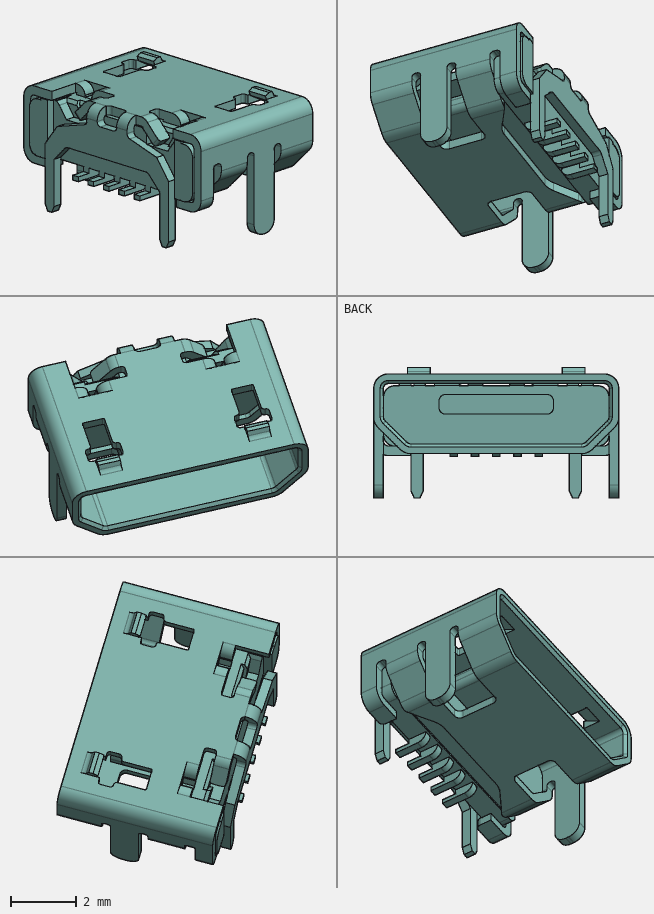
import cadquery as cq
import math


SHEET = 0.3
BEND_INNER = 0.1
BEND_OUTER = BEND_INNER + SHEET
SHELL_WIDTH = 7.5
SHELL_HEIGHT = 2.5
SHELL_LENGTH = 4.95
OVERALL_LENGTH = 5.22
HALF_WIDTH = SHELL_WIDTH / 2
INNER_HALF_WIDTH = HALF_WIDTH - SHEET
ROOF_UNDERSIDE = SHELL_HEIGHT - SHEET
SHELL_CORNER = 0.45

FLOOR_BOTTOM = 0.06
TAPER_CORNER = 0.5
TAPER_ANGLE = 45
TAPER_START_Z = 1.2
MOUTH_CHAMFER = 0.1
FLOOR_HALF_FLAT = 2.6

FRAME_LENGTH = 0.555
FLOOR_FRONT = 0.9
LIP_INNER_X = 2.62
LIP_CORNER = 0.165
SLOT_TOP = 1.46
SLOT_CORNER = 0.13

RECESS_MOUTH_HALF = 2.7
RECESS_END_HALF = 1.64
RECESS_ANGLE = 30
RECESS_MOUTH_RADIUS = 0.34
RECESS_END_RADIUS = 0.77

LEG_BOTTOM = -1.3
LEG_FRONT = 2.35
LEG_BACK = 3.25
LEG_TIP_RADIUS = 0.4
LEG_GAP = 0.29
LEG_OPENING_INNER_X = 1.5
LEG_OPENING_CORNER = 0.19

WINDOW_X = 2.365
WINDOW_WIDTH = 0.7
WINDOW_FRONT = 2.41
WINDOW_CORNER = 0.05
WINDOW_WIDE_WIDTH = 1.11
WINDOW_WIDE_FRONT = 3.41
WINDOW_WIDE_BACK = 3.89
WINDOW_WIDE_CORNER = 0.1
TAB_ROOT_Y = 4.47
TAB_TOP = 2.7
TAB_CREST_BACK = 4.23
TAB_CREST_FRONT = 4.095
TAB_TIP_Y = 3.94
TAB_TIP_Z = 2.62
TAB_KNEE_Y = 4.31
TAB_KNEE_Z = 2.57
TAB_UNDER_TIP_Y = 3.985
TAB_UNDER_TIP_Z = 2.47

CUT_OUTER_X = 2.56
SLIT_INNER_X = 0.885
SLIT_BACK = 1.06
SLIT_CORNER = 0.1
ROUNDED_HOLE_INNER_X = 1.49
ROUNDED_HOLE_BACK = 1.455
HOLE_EDGE_RADIUS = 0.39

FINGER_ROOT_X = 1.05
FINGER_FRONT = 0.16
FINGER_BACK = 0.66
FINGER_ANGLE = 45
FINGER_REACH_LEFT = 1.775
FINGER_REACH_RIGHT = 1.84
FINGER_TIP_RADIUS = 0.1

PLATE_FRONT = FINGER_FRONT - BEND_OUTER
STRAP_OUTER_X = 0.857
STRAP_INNER_X = 0.41
STRAP_NOTCH_BACK = 0.26
STRAP_NOTCH_BOTTOM = 1.95
STRAP_NOTCH_CORNER = 0.15
PLATE_TOP = SHELL_HEIGHT - BEND_OUTER
PLATE_NOTCH_CORNER = 0.14
PLATE_SHOULDER_Z = 1.89
PLATE_SHOULDER_RADIUS = 0.15
PLATE_ELBOW_X = 2.106
PLATE_ELBOW_Z = 1.53
PLATE_HALF_WIDTH = 2.61
PLATE_SIDE_Z = 0.87
PIN_WIDTH = 0.38
PIN_TAPER_HEIGHT = 0.215
PIN_TAPER = 0.105
ARCH_TOP = 0.952
ARCH_HALF_FLAT = 1.73
ARCH_SIDE_Z = 0.44
ARCH_CORNER = 0.2

BODY_TOP = 2.14
BODY_BOTTOM = 0.29
BODY_CORNER = 0.35
BODY_FRONT = 0.21
BODY_BACK = 1.9
EAR_FRONT = -0.06
EAR_INNER_X = 2.68
TONGUE_BOTTOM = 1.27
TONGUE_THICKNESS = 0.6
TONGUE_HALF_WIDTH = 1.75
TONGUE_BACK = 3.82
TONGUE_EDGE_RADIUS = 0.2

POCKET_FLOOR = 1.63
POCKET_CHAMFER = 0.11
OUTER_POCKET_BACK = 0.55
OUTER_POCKET_TOP_X = 2.56
OUTER_POCKET_CHAMFER_X = 2.44
OUTER_POCKET_FLOOR_X = 2.14
INNER_POCKET_BACK = 0.66
INNER_POCKET_FLOOR_LEFT = 1.77
INNER_POCKET_FLOOR_RIGHT = 1.835
INNER_POCKET_SLOPE_WIDTH = 0.32
INNER_POCKET_END_X = 1.24
INNER_POCKET_END_TOP_X = 1.06
INNER_POCKET_END_Z = 1.97

EAR_PAD_INNER_X = 2.6
EAR_PAD_OUTER_X = 2.97
INNER_PAD_SPAN = (1.13, 1.89)
OUTER_PAD_SPAN = (2.165, 2.52)
GROOVE_X = 2.018
GROOVE_TOP_WIDTH = 0.27
GROOVE_FLOOR_WIDTH = 0.085
GROOVE_DEPTH = 0.25

CONTACT_COUNT = 5
CONTACT_PITCH = 0.65
CONTACT_WIDTH = 0.24
CONTACT_THICKNESS = 0.157
CONTACT_BOTTOM = -0.03
CONTACT_FRONT = SHELL_LENGTH - OVERALL_LENGTH
CONTACT_BACK = 0.83
CONTACT_BEND = 0.3
CONTACT_TOP = 0.6


def box(x0, x1, y0, y1, z0, z1):
    """Axis-aligned block between two corners."""
    return cq.Workplane("XY").box(x1 - x0, y1 - y0, z1 - z0, centered=False).translate((x0, y0, z0))


def along_y(sketch, y0, y1):
    """Extrude an XZ outline from y0 to y1."""
    return sketch.extrude(y0 - y1).translate((0, y0, 0))


def both_sides(shape):
    """Add the mirror image across the YZ plane."""
    return shape.union(shape.mirror("YZ"))


def rounded_block(half_width, bottom, top, radius, y0, y1):
    """Block along Y with rounded edges."""
    return box(-half_width, half_width, y0, y1, bottom, top).edges("|Y").fillet(radius)


def tapered_block(inset, y0, y1):
    """Solid with the outline of the mating end, drawn in by inset."""
    top = SHELL_HEIGHT - inset
    side = HALF_WIDTH - inset
    bottom = FLOOR_BOTTOM + inset
    taper_radius = TAPER_CORNER - inset
    top_radius = SHELL_CORNER - inset
    diagonal = math.sqrt(0.5)
    upper_x = HALF_WIDTH - TAPER_CORNER
    lower_z = FLOOR_BOTTOM + TAPER_CORNER

    def taper_point(x, z, degrees):
        angle = math.radians(degrees)
        return x + taper_radius * math.cos(angle), z - taper_radius * math.sin(angle)

    half = (
        cq.Workplane("XZ")
        .moveTo(0, top)
        .lineTo(side - top_radius, top)
        .threePointArc(
            (side - top_radius * (1 - diagonal), top - top_radius * (1 - diagonal)),
            (side, top - top_radius),
        )
        .lineTo(side, TAPER_START_Z)
        .threePointArc(
            taper_point(upper_x, TAPER_START_Z, TAPER_ANGLE / 2),
            taper_point(upper_x, TAPER_START_Z, TAPER_ANGLE),
        )
        .lineTo(*taper_point(FLOOR_HALF_FLAT, lower_z, TAPER_ANGLE))
        .threePointArc(
            taper_point(FLOOR_HALF_FLAT, lower_z, (TAPER_ANGLE + 90) / 2),
            (FLOOR_HALF_FLAT, bottom),
        )
        .lineTo(0, bottom)
        .close()
    )
    return both_sides(along_y(half, y0, y1))


def make_shell_tube():
    """Rectangular frame at the front, tapered tube behind it."""
    frame = rounded_block(HALF_WIDTH, 0, SHELL_HEIGHT, SHELL_CORNER, 0, FRAME_LENGTH)
    frame_bore = rounded_block(
        INNER_HALF_WIDTH, SHEET, ROOF_UNDERSIDE, SHELL_CORNER - SHEET, 0, FRAME_LENGTH
    )
    lip_gap = box(-LIP_INNER_X, LIP_INNER_X, 0, FRAME_LENGTH, 0, SHEET)
    tube = tapered_block(0, FRAME_LENGTH, SHELL_LENGTH)
    tube_bore = tapered_block(SHEET, FRAME_LENGTH, SHELL_LENGTH)
    frame = frame.cut(frame_bore).cut(lip_gap)
    for side in (-1, 1):
        corner = cq.selectors.NearestToPointSelector((side * LIP_INNER_X, 0, SHEET / 2))
        frame = frame.edges("|Z").edges(corner).fillet(LIP_CORNER)
    tube = tube.cut(tube_bore)
    mouth_rim = tube.faces(">Y").val().innerWires()[0].Edges()
    tube = tube.newObject(mouth_rim).chamfer(MOUTH_CHAMFER)
    return frame.union(tube)


def side_slots(inner_x, y0, y1):
    """Slots through the side walls and the floor beyond inner_x, round at the top."""
    slot = box(inner_x, HALF_WIDTH, y0, y1, 0, SLOT_TOP)
    return both_sides(slot.edges("|X and >Z").fillet(SLOT_CORNER))


def make_floor_recess():
    """V-shaped recess in the front edge of the floor."""
    depth = (RECESS_MOUTH_HALF - RECESS_END_HALF) * math.tan(math.radians(RECESS_ANGLE))
    front = FRAME_LENGTH
    outline = [
        (-HALF_WIDTH, front),
        (HALF_WIDTH, front),
        (HALF_WIDTH, FLOOR_FRONT),
        (RECESS_MOUTH_HALF, FLOOR_FRONT),
        (RECESS_END_HALF, FLOOR_FRONT + depth),
        (-RECESS_END_HALF, FLOOR_FRONT + depth),
        (-RECESS_MOUTH_HALF, FLOOR_FRONT),
        (-HALF_WIDTH, FLOOR_FRONT),
    ]
    recess = cq.Workplane("XY").polyline(outline).close().extrude(FLOOR_BOTTOM + SHEET)
    recess = recess.edges("|Z and >Y").fillet(RECESS_END_RADIUS)
    for side in (-1, 1):
        corner = cq.selectors.NearestToPointSelector((side * RECESS_MOUTH_HALF, FLOOR_FRONT, SHEET / 2))
        recess = recess.edges("|Z").edges(corner).fillet(RECESS_MOUTH_RADIUS)
    return recess


def make_leg_opening():
    """Opening in the side and floor out of which a side leg is bent."""
    y0 = LEG_FRONT - LEG_GAP
    y1 = LEG_BACK + LEG_GAP
    floor_part = box(LEG_OPENING_INNER_X, HALF_WIDTH, y0, y1, 0, TAPER_START_Z)
    floor_part = floor_part.edges("|Z and <X").fillet(LEG_OPENING_CORNER)
    return both_sides(floor_part)


def make_legs():
    """Straight side legs with rounded tips."""
    leg = box(INNER_HALF_WIDTH, HALF_WIDTH, LEG_FRONT, LEG_BACK, LEG_BOTTOM, SLOT_TOP)
    return both_sides(leg.edges("|X and <Z").fillet(LEG_TIP_RADIUS))


def make_windows():
    """T-shaped openings in the roof, reaching back to the roots of the latch tabs."""
    left = WINDOW_X - WINDOW_WIDTH / 2
    right = WINDOW_X + WINDOW_WIDTH / 2
    wide_left = WINDOW_X - WINDOW_WIDE_WIDTH / 2
    wide_right = WINDOW_X + WINDOW_WIDE_WIDTH / 2
    narrow = box(left, right, WINDOW_FRONT, TAB_ROOT_Y, ROOF_UNDERSIDE, SHELL_HEIGHT)
    narrow = narrow.edges("|Z and <Y").fillet(WINDOW_CORNER)
    wide = box(
        wide_left, wide_right, WINDOW_WIDE_FRONT, WINDOW_WIDE_BACK, ROOF_UNDERSIDE, SHELL_HEIGHT
    )
    wide = wide.edges("|Z").fillet(WINDOW_WIDE_CORNER)
    window = narrow.union(wide)
    for x in (left, right):
        corner = cq.selectors.NearestToPointSelector((x, WINDOW_WIDE_FRONT, SHELL_HEIGHT - SHEET / 2))
        window = window.edges("|Z").edges(corner).fillet(WINDOW_WIDE_CORNER)
    return both_sides(window)


def make_latch_tabs():
    """Tabs that rise through the roof and end in a crest."""
    halfway = ((TAB_ROOT_Y + TAB_KNEE_Y) / 2, SHELL_HEIGHT + (TAB_KNEE_Z - SHELL_HEIGHT) / 4)
    profile = (
        cq.Workplane("YZ")
        .moveTo(TAB_ROOT_Y, SHELL_HEIGHT)
        .threePointArc(halfway, (TAB_KNEE_Y, TAB_KNEE_Z))
        .lineTo(TAB_CREST_BACK, TAB_TOP)
        .lineTo(TAB_CREST_FRONT, TAB_TOP)
        .lineTo(TAB_TIP_Y, TAB_TIP_Z)
        .lineTo(TAB_UNDER_TIP_Y, TAB_UNDER_TIP_Z)
        .lineTo(TAB_ROOT_Y, ROOF_UNDERSIDE)
        .close()
    )
    tab = profile.extrude(WINDOW_WIDTH)
    return both_sides(tab.translate((WINDOW_X - WINDOW_WIDTH / 2, 0, 0)))


def make_roof_cuts():
    """Openings in the front of the roof around the fingers, straps and front corners."""
    z0 = ROOF_UNDERSIDE
    z1 = SHELL_HEIGHT
    slit = box(SLIT_INNER_X, CUT_OUTER_X, FINGER_BACK, SLIT_BACK, z0, z1)
    slit = slit.edges("|Z and <X").fillet(SLIT_CORNER)
    finger_area = box(FINGER_ROOT_X, CUT_OUTER_X, FINGER_FRONT, FINGER_BACK, z0, z1)
    hole = box(ROUNDED_HOLE_INNER_X, CUT_OUTER_X, SLIT_BACK, ROUNDED_HOLE_BACK, z0, z1)
    for centre_x in (ROUNDED_HOLE_INNER_X, CUT_OUTER_X):
        rim = cq.Workplane("XZ").ellipse(HOLE_EDGE_RADIUS, SHEET)
        rim = along_y(rim, SLIT_BACK, ROUNDED_HOLE_BACK)
        hole = hole.cut(rim.translate((centre_x, 0, ROOF_UNDERSIDE)))
    front_strip = box(0, CUT_OUTER_X, 0, FINGER_FRONT, z0, z1)
    notch = box(-STRAP_INNER_X, STRAP_INNER_X, 0, STRAP_NOTCH_BACK, z0, z1)
    notch = notch.edges("|Z and >Y").fillet(STRAP_NOTCH_CORNER)
    return both_sides(slit.union(finger_area).union(hole).union(front_strip)).union(notch)


def make_finger(reach):
    """Right-hand finger, bent down from the roof and pointing outwards to reach."""
    angle = math.radians(FINGER_ANGLE)
    centre_z = SHELL_HEIGHT - BEND_OUTER

    def on_bend(radius, turn):
        return FINGER_ROOT_X + radius * math.sin(turn), centre_z + radius * math.cos(turn)

    bend_end_x, bend_end_z = on_bend(BEND_OUTER, angle)
    tip_z = bend_end_z - (reach - bend_end_x) * math.tan(angle)
    under_tip = (reach - SHEET * math.sin(angle), tip_z - SHEET * math.cos(angle))
    outline = (
        cq.Workplane("XZ")
        .moveTo(*on_bend(BEND_OUTER, 0))
        .threePointArc(on_bend(BEND_OUTER, angle / 2), on_bend(BEND_OUTER, angle))
        .lineTo(reach, tip_z)
        .lineTo(*under_tip)
        .lineTo(*on_bend(BEND_INNER, angle))
        .threePointArc(on_bend(BEND_INNER, angle / 2), on_bend(BEND_INNER, 0))
        .close()
    )
    finger = along_y(outline, FINGER_FRONT, FINGER_BACK)
    across_tip = cq.Vector(math.sin(angle), 0, math.cos(angle))
    tip_edges = cq.selectors.ParallelDirSelector(across_tip)
    return finger.edges(tip_edges).fillet(FINGER_TIP_RADIUS)


def make_straps():
    """Quarter bends that join the roof to the front plate."""
    diagonal = math.sqrt(0.5)
    outline = (
        cq.Workplane("YZ")
        .moveTo(FINGER_FRONT, SHELL_HEIGHT)
        .threePointArc(
            (FINGER_FRONT - BEND_OUTER * diagonal, PLATE_TOP + BEND_OUTER * diagonal),
            (PLATE_FRONT, PLATE_TOP),
        )
        .lineTo(PLATE_FRONT + SHEET, PLATE_TOP)
        .threePointArc(
            (FINGER_FRONT - BEND_INNER * diagonal, PLATE_TOP + BEND_INNER * diagonal),
            (FINGER_FRONT, ROOF_UNDERSIDE),
        )
        .close()
    )
    strap = outline.extrude(STRAP_OUTER_X - STRAP_INNER_X)
    return both_sides(strap.translate((STRAP_INNER_X, 0, 0)))


def make_front_plate():
    """Upright plate with an arch below and two tapered solder pins."""
    pin_inner_x = PLATE_HALF_WIDTH - PIN_WIDTH
    pin_taper_z = LEG_BOTTOM + PIN_TAPER_HEIGHT
    half_outline = [
        (0, PLATE_TOP),
        (STRAP_OUTER_X, PLATE_TOP),
        (STRAP_OUTER_X, PLATE_SHOULDER_Z),
        (PLATE_ELBOW_X, PLATE_ELBOW_Z),
        (PLATE_HALF_WIDTH, PLATE_SIDE_Z),
        (PLATE_HALF_WIDTH, pin_taper_z),
        (PLATE_HALF_WIDTH - PIN_TAPER, LEG_BOTTOM),
        (pin_inner_x + PIN_TAPER, LEG_BOTTOM),
        (pin_inner_x, pin_taper_z),
        (pin_inner_x, ARCH_SIDE_Z),
        (ARCH_HALF_FLAT, ARCH_TOP),
        (0, ARCH_TOP),
    ]
    back = PLATE_FRONT + SHEET
    half = along_y(cq.Workplane("XZ").polyline(half_outline).close(), PLATE_FRONT, back)
    rounded_corners = (
        (STRAP_OUTER_X, PLATE_SHOULDER_Z, PLATE_SHOULDER_RADIUS),
        (ARCH_HALF_FLAT, ARCH_TOP, ARCH_CORNER),
    )
    for x, z, radius in rounded_corners:
        corner = cq.selectors.NearestToPointSelector((x, (PLATE_FRONT + back) / 2, z))
        half = half.edges("|Y").edges(corner).fillet(radius)
    notch = box(-STRAP_INNER_X, STRAP_INNER_X, PLATE_FRONT, back, STRAP_NOTCH_BOTTOM, PLATE_TOP)
    notch = notch.edges("|Y and <Z").fillet(PLATE_NOTCH_CORNER)
    return both_sides(half).cut(notch)


def make_pocket(outline, back):
    """Right-hand finger pocket with an XZ outline and a chamfer along the top of its back wall."""
    side_profile = [
        (EAR_FRONT, POCKET_FLOOR),
        (back, POCKET_FLOOR),
        (back, BODY_TOP - POCKET_CHAMFER),
        (back + POCKET_CHAMFER, BODY_TOP),
        (EAR_FRONT, BODY_TOP),
    ]
    front_shape = along_y(cq.Workplane("XZ").polyline(outline).close(), EAR_FRONT, back + POCKET_CHAMFER)
    side_shape = cq.Workplane("YZ").polyline(side_profile).close().extrude(HALF_WIDTH)
    return front_shape.intersect(side_shape)


def make_finger_pockets(inner_floor_x):
    """Right-hand outer pocket and the deeper inner pocket, which starts at inner_floor_x."""
    inner_top_x = inner_floor_x + INNER_POCKET_SLOPE_WIDTH
    outer_pocket = make_pocket(
        [
            (OUTER_POCKET_TOP_X, BODY_TOP),
            (OUTER_POCKET_CHAMFER_X, BODY_TOP - POCKET_CHAMFER),
            (OUTER_POCKET_FLOOR_X, POCKET_FLOOR),
            (inner_floor_x, POCKET_FLOOR),
            (inner_top_x, BODY_TOP),
        ],
        OUTER_POCKET_BACK,
    )
    inner_pocket = make_pocket(
        [
            (inner_top_x, BODY_TOP),
            (inner_floor_x, POCKET_FLOOR),
            (INNER_POCKET_END_X, POCKET_FLOOR),
            (INNER_POCKET_END_X, INNER_POCKET_END_Z),
            (INNER_POCKET_END_TOP_X, BODY_TOP),
        ],
        INNER_POCKET_BACK,
    )
    return outer_pocket.union(inner_pocket)


def make_roof_pads():
    """Low pads on both sides of the rounded roof holes, touching the roof."""
    pads = cq.Workplane("XY")
    for x0, x1 in (INNER_PAD_SPAN, OUTER_PAD_SPAN):
        pads = pads.union(box(x0, x1, SLIT_BACK, ROUNDED_HOLE_BACK, BODY_TOP, ROOF_UNDERSIDE))
    return both_sides(pads)


def make_grooves():
    """Steep-sided grooves in the body below the rounded roof holes."""
    outline = [
        (GROOVE_X - GROOVE_TOP_WIDTH / 2, BODY_TOP),
        (GROOVE_X + GROOVE_TOP_WIDTH / 2, BODY_TOP),
        (GROOVE_X + GROOVE_FLOOR_WIDTH / 2, BODY_TOP - GROOVE_DEPTH),
        (GROOVE_X - GROOVE_FLOOR_WIDTH / 2, BODY_TOP - GROOVE_DEPTH),
    ]
    groove = cq.Workplane("XZ").polyline(outline).close()
    return both_sides(along_y(groove, SLIT_BACK, ROUNDED_HOLE_BACK))


def make_insulator():
    """Moulded body with front ears, contact tongue and finger pockets."""
    body = rounded_block(INNER_HALF_WIDTH, BODY_BOTTOM, BODY_TOP, BODY_CORNER, EAR_FRONT, FLOOR_FRONT)
    ear_pad = box(EAR_PAD_INNER_X, EAR_PAD_OUTER_X, EAR_FRONT, FLOOR_FRONT, BODY_BOTTOM, ROOF_UNDERSIDE)
    body = body.union(both_sides(ear_pad))
    body = body.cut(box(-EAR_INNER_X, EAR_INNER_X, EAR_FRONT, BODY_FRONT, BODY_BOTTOM, ROOF_UNDERSIDE))
    rear = tapered_block(SHEET, FLOOR_FRONT, BODY_BACK)
    rear = rear.intersect(
        rounded_block(INNER_HALF_WIDTH, BODY_BOTTOM, BODY_TOP, BODY_CORNER, FLOOR_FRONT, BODY_BACK)
    )
    tongue = box(
        -TONGUE_HALF_WIDTH,
        TONGUE_HALF_WIDTH,
        BODY_BACK,
        TONGUE_BACK,
        TONGUE_BOTTOM,
        TONGUE_BOTTOM + TONGUE_THICKNESS,
    )
    tongue = tongue.edges("|Y").fillet(TONGUE_EDGE_RADIUS)
    right_pockets = make_finger_pockets(INNER_POCKET_FLOOR_RIGHT)
    left_pockets = make_finger_pockets(INNER_POCKET_FLOOR_LEFT).mirror("YZ")
    insulator = body.union(rear).union(tongue).union(make_roof_pads())
    return insulator.cut(right_pockets).cut(left_pockets).cut(make_grooves())


def make_contacts():
    """Row of contact tails, bent from the body down to the board."""
    heel = box(
        -CONTACT_WIDTH / 2, CONTACT_WIDTH / 2, CONTACT_FRONT, CONTACT_BACK, CONTACT_BOTTOM, CONTACT_TOP
    )
    heel = heel.edges("|X and >Y and <Z").fillet(CONTACT_BEND)
    inside = box(
        -CONTACT_WIDTH / 2,
        CONTACT_WIDTH / 2,
        CONTACT_FRONT,
        BODY_FRONT,
        CONTACT_BOTTOM + CONTACT_THICKNESS,
        CONTACT_TOP,
    )
    contact = heel.cut(inside)
    contacts = cq.Workplane("XY")
    for index in range(CONTACT_COUNT):
        x = (index - (CONTACT_COUNT - 1) / 2) * CONTACT_PITCH
        contacts = contacts.union(contact.translate((x, 0, 0)))
    return contacts


shell = (
    make_shell_tube()
    .cut(side_slots(0, FRAME_LENGTH, FLOOR_FRONT))
    .cut(side_slots(INNER_HALF_WIDTH, LEG_FRONT - LEG_GAP, LEG_FRONT))
    .cut(side_slots(INNER_HALF_WIDTH, LEG_BACK, LEG_BACK + LEG_GAP))
    .cut(make_floor_recess())
    .cut(make_leg_opening())
    .cut(make_windows())
    .cut(make_roof_cuts())
    .union(make_legs())
    .union(make_latch_tabs())
    .union(make_finger(FINGER_REACH_RIGHT))
    .union(make_finger(FINGER_REACH_LEFT).mirror("YZ"))
    .union(make_straps())
    .union(make_front_plate())
)

result = shell.union(make_insulator()).union(make_contacts())